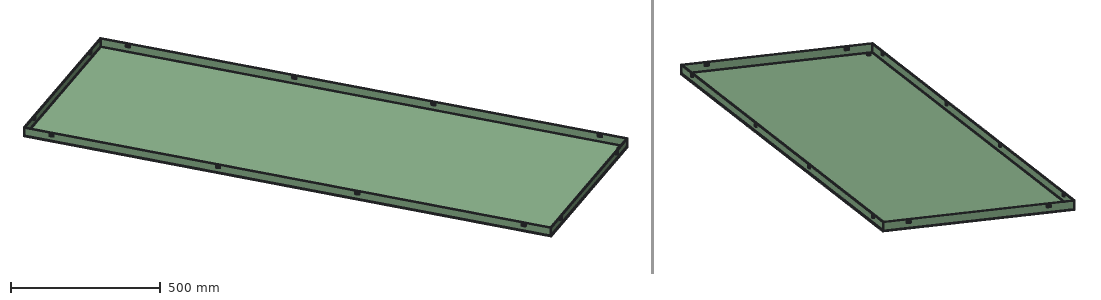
import cadquery as cq

length = 1897.0
width = 683.0
height = 32.0
sheet = 1.5

wall_slot_length = 15.0
wall_slot_height = 8.0
wall_slot_drop = 10.0
inner_slot_offset = 250.0
outer_slot_offset = 850.0

floor_hole_diameter = 11.0
floor_hole_inset = 20.0

wall_slot_z = height - wall_slot_drop


def make_tray():
    """Thin floor with four upturned walls, open at the top."""
    block = cq.Workplane("XY").box(length, width, height, centered=(True, True, False))
    return block.faces(">Z").shell(-sheet)


def wall_slots(plane, offsets, span):
    """Horizontal rounded slots that pierce both walls facing the plane's normal."""
    positions = [(offset, wall_slot_z) for offset in offsets]
    return (
        cq.Workplane(plane)
        .pushPoints(positions)
        .slot2D(wall_slot_length, wall_slot_height)
        .extrude(span, both=True)
    )


def floor_holes():
    """Vertical cylinders through the floor near the +X wall."""
    x = length / 2 - floor_hole_inset
    y = width / 2 - floor_hole_inset
    return (
        cq.Workplane("XY")
        .pushPoints([(x, -y), (x, y)])
        .circle(floor_hole_diameter / 2)
        .extrude(height)
    )


long_wall_offsets = [-outer_slot_offset, -inner_slot_offset, inner_slot_offset, outer_slot_offset]
short_wall_offsets = [-inner_slot_offset, inner_slot_offset]

result = (
    make_tray()
    .cut(wall_slots("XZ", long_wall_offsets, width))
    .cut(wall_slots("YZ", short_wall_offsets, length))
    .cut(floor_holes())
)